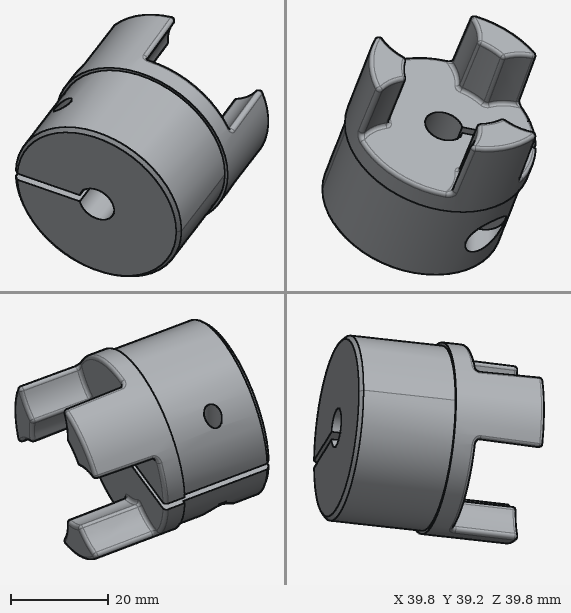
import cadquery as cq
import math


flange_radius = 19.9
hub_radius = 19.2
hub_length = 20.33
floor_y = 25.02
total_length = 39.22
bore_radius = 4.0
hub_chamfer = 0.8

jaw_height = total_length - floor_y
jaw_inner_radius = 12.35
lobe_centre_radius = 15.3
lobe_radius = 11.0
draft_angle = 1.0
edge_fillet = 0.8

slit_width = 1.7
screw_x = -13.13
screw_y = 10.22
screw_hole_diameter = 3.7
counterbore_diameter = 8.45
counterbore_floor_z = -7.95


def disc(radius, start_y, length):
    """Solid cylinder around the bore axis, running from start_y towards +Y."""
    return cq.Workplane("XZ", origin=(0, start_y, 0)).circle(radius).extrude(-length)


def make_lobe(lean_angle, taper_angle):
    """Round gap cutter on the +X side, standing on the floor between the jaws.

    A positive lean tilts it towards -Z at the floor; a taper narrows it towards the floor.
    """
    floor_radius = lobe_radius - jaw_height * math.tan(math.radians(taper_angle))
    lean_shift = jaw_height * math.tan(math.radians(lean_angle))
    return (
        cq.Workplane("XZ", origin=(lobe_centre_radius, floor_y, -lean_shift))
        .circle(floor_radius)
        .workplane(offset=-jaw_height)
        .center(0, lean_shift)
        .circle(lobe_radius)
        .loft(ruled=True)
    )


def make_jaws():
    """Flange with jaws at 0, 120 and 240 degrees from +X towards +Z, their edges rounded."""
    body = disc(flange_radius, hub_length, total_length - hub_length)
    gaps = disc(jaw_inner_radius, floor_y, jaw_height)
    leaning_gaps = [(60, draft_angle, 0), (300, -draft_angle, 0)]
    tapered_gap = (180, 0, draft_angle)
    for angle, lean, taper in leaning_gaps + [tapered_gap]:
        lobe = make_lobe(lean, taper).rotate((0, 0, 0), (0, -1, 0), angle)
        gaps = gaps.union(lobe)
    body = body.cut(gaps)
    jaw_zone = cq.selectors.BoxSelector(
        (-2 * flange_radius, hub_length + edge_fillet, -2 * flange_radius),
        (2 * flange_radius, 2 * total_length, 2 * flange_radius),
    )
    return body.edges(jaw_zone).fillet(edge_fillet)


def make_hub():
    """Plain cylindrical hub, chamfered at the clamp face."""
    return disc(hub_radius, 0, hub_length).faces("<Y").chamfer(hub_chamfer)


def make_slit():
    """Radial cut from the bore out through the -X side, over the full length."""
    return (
        cq.Workplane("XZ")
        .center(-flange_radius, 0)
        .rect(2 * flange_radius, slit_width)
        .extrude(-total_length)
    )


def make_screw_hole():
    """Through hole along Z with a counterbore for the screw head on the -Z side."""
    shank = (
        cq.Workplane("XY", origin=(screw_x, screw_y, -flange_radius))
        .circle(screw_hole_diameter / 2)
        .extrude(2 * flange_radius)
    )
    head = (
        cq.Workplane("XY", origin=(screw_x, screw_y, counterbore_floor_z))
        .circle(counterbore_diameter / 2)
        .extrude(-flange_radius)
    )
    return shank.union(head)


result = (
    make_hub()
    .union(make_jaws())
    .cut(disc(bore_radius, 0, total_length))
    .cut(make_slit())
    .cut(make_screw_hole())
)